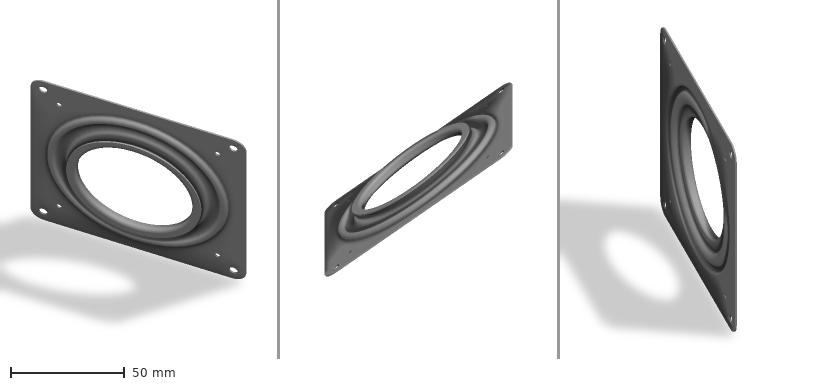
import cadquery as cq
import math

PLATE_SIDE = 101.6
DEPTH = 6.63
FLANGE_DIA = 63.58
BORE_DIA = 54.86
NECK_DIA = 56.34
SHEET = (NECK_DIA - BORE_DIA) / 2

CORNER_RADIUS = 6.35
MOUNT_HOLE_DIA = 3.96
MOUNT_HOLE_PITCH = 89.7
PILOT_HOLE_DIA = 2.39
PILOT_HOLE_PITCH = 74.7

RING_WALL_TILT = math.radians(75)
FOOT_BEND = 0.8
SHOULDER_BEND = 1.5
CREST_OUTER_RADIUS = 41.0
CREST_INNER_RADIUS = 40.5
RACE_CENTRE_RADIUS = 36.4
RACE_TILT = math.radians(60)
RACE_HALF_SPAN = CREST_INNER_RADIUS - RACE_CENTRE_RADIUS
RACE_DEPTH = RACE_HALF_SPAN * math.tan(RACE_TILT / 2)
RING_HEIGHT = SHEET + RACE_DEPTH
NECK_ROOT_BEND = 0.3
FLANGE_BEND = 0.6

CONVEX = 1
HOLLOW = -1
FLAT = 0.0
RADIAL = math.pi / 2
REVERSED = math.pi

GAP_TOLERANCE = 1e-6


def bend_points(centre, radius, kind, start_tilt, end_tilt, inset):
    """Start, middle and end of a bend, on the sheet face set back by inset.

    Tilt is the angle of the sheet's normal from straight forward towards outward.
    """
    reach = kind * radius - inset
    points = []
    for tilt in (start_tilt, (start_tilt + end_tilt) / 2, end_tilt):
        radial = centre[0] + reach * math.sin(tilt)
        height = centre[1] + reach * math.cos(tilt)
        points.append((radial, -height))
    return points


def ring_wall_foot_radius():
    """Radius where the plate starts to bend into the sloping ring wall."""
    wall_top = RING_HEIGHT - SHOULDER_BEND * (1 - math.cos(RING_WALL_TILT))
    wall_bottom = SHEET + FOOT_BEND * (1 - math.cos(RING_WALL_TILT))
    wall_run = (wall_top - wall_bottom) / math.tan(RING_WALL_TILT)
    bend_run = (SHOULDER_BEND + FOOT_BEND) * math.sin(RING_WALL_TILT)
    return CREST_OUTER_RADIUS + bend_run + wall_run


FOOT_RADIUS = ring_wall_foot_radius()


def sheet_bends():
    """Bends of the sheet in order, from the plate inward and forward to the flange.

    Each is (centre, front face radius, type, start tilt, end tilt).
    """
    shoulder_height = RING_HEIGHT - SHOULDER_BEND
    race_radius = RACE_HALF_SPAN / math.sin(RACE_TILT) - SHOULDER_BEND
    race_height = shoulder_height + RACE_HALF_SPAN / math.tan(RACE_TILT)
    neck_radius = NECK_DIA / 2
    root_centre = (neck_radius + NECK_ROOT_BEND, RING_HEIGHT + NECK_ROOT_BEND)
    flange_bend_centre = (neck_radius + FLANGE_BEND, DEPTH - SHEET - FLANGE_BEND)
    inner_crest_radius = RACE_CENTRE_RADIUS - RACE_HALF_SPAN
    return [
        ((FOOT_RADIUS, SHEET + FOOT_BEND), FOOT_BEND, HOLLOW, FLAT, RING_WALL_TILT),
        ((CREST_OUTER_RADIUS, shoulder_height), SHOULDER_BEND, CONVEX, RING_WALL_TILT, FLAT),
        ((CREST_INNER_RADIUS, shoulder_height), SHOULDER_BEND, CONVEX, FLAT, -RACE_TILT),
        ((RACE_CENTRE_RADIUS, race_height), race_radius, HOLLOW, -RACE_TILT, RACE_TILT),
        ((inner_crest_radius, shoulder_height), SHOULDER_BEND, CONVEX, RACE_TILT, FLAT),
        (root_centre, NECK_ROOT_BEND, HOLLOW, FLAT, RADIAL),
        (flange_bend_centre, FLANGE_BEND, HOLLOW, RADIAL, REVERSED),
    ]


def draw_to(outline, position, target):
    """Add a straight stretch unless the outline is already at the target."""
    if math.dist(position, target) > GAP_TOLERANCE:
        outline = outline.lineTo(*target)
    return outline


def make_ring():
    """Revolved sheet: ring, ball race, neck and front flange."""
    bends = sheet_bends()
    front = [bend_points(*bend, 0) for bend in bends]
    back = [bend_points(*bend, SHEET)[::-1] for bend in reversed(bends)]
    flange_radius = FLANGE_DIA / 2
    flange_rim = [(flange_radius, SHEET - DEPTH), (flange_radius, -DEPTH)]

    position = front[0][0]
    outline = cq.Workplane("XY").moveTo(*position)
    for start, middle, end in front:
        outline = draw_to(outline, position, start).threePointArc(middle, end)
        position = end
    for corner in flange_rim:
        outline = outline.lineTo(*corner)
        position = corner
    for start, middle, end in back:
        outline = draw_to(outline, position, start).threePointArc(middle, end)
        position = end
    return outline.close().revolve(360, (0, 0, 0), (0, 1, 0))


def make_plate():
    """Square plate with rounded corners, open inside the ring's foot."""
    plate = cq.Workplane("XZ").rect(PLATE_SIDE, PLATE_SIDE).extrude(SHEET)
    plate = plate.edges("|Y").fillet(CORNER_RADIUS)
    opening = cq.Workplane("XZ").circle(FOOT_RADIUS).extrude(SHEET)
    return plate.cut(opening)


def corner_holes(diameter, pitch):
    """Four through-hole cutters on a square pattern."""
    pattern = cq.Workplane("XZ").rect(pitch, pitch, forConstruction=True).vertices()
    return pattern.circle(diameter / 2).extrude(SHEET)


plate = make_plate()
plate = plate.cut(corner_holes(MOUNT_HOLE_DIA, MOUNT_HOLE_PITCH))
plate = plate.cut(corner_holes(PILOT_HOLE_DIA, PILOT_HOLE_PITCH))
result = plate.union(make_ring())